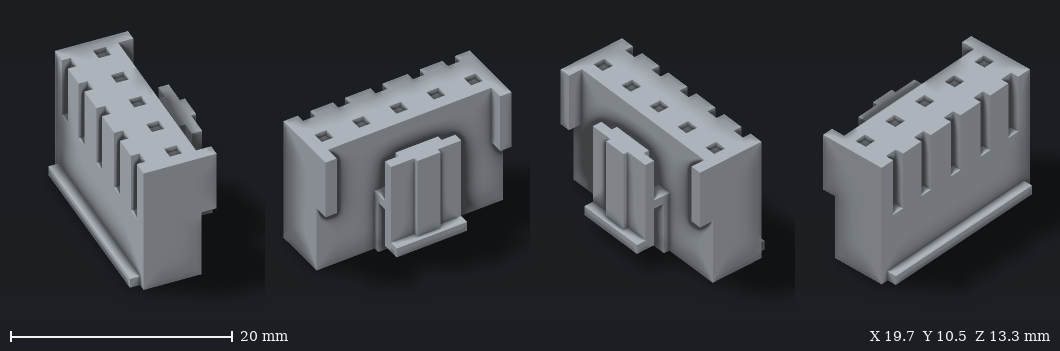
import cadquery as cq


body_width = 19.74
body_depth = 5.7
body_height = 13.3

contact_count = 5
contact_pitch = 3.96
contact_hole_width = 1.27
contact_hole_length = contact_hole_width
contact_hole_depth = 0.6
contact_hole_y = 3.8

groove_width = 1.27
groove_depth = 0.9
groove_bottom_z = 7.06
end_groove_width = 1.32
end_groove_x = 7.68

ear_width = 1.2
ear_back_y = 7.2
ear_bottom_z = groove_bottom_z

lip_width = 18.15
lip_depth = 1.0
lip_height = 1.0

latch_width = 7.46
lever_front_y = 7.5
lever_back_y = 8.5
lever_bottom_z = 1.5
lever_top_z = 11.15
latch_back_y = 9.5
catch_height = 1.0
rib_width = 2.47
rib_back_y = 9.0
leg_width = 1.47
leg_back_y = 6.32
bridge_bottom_z = 5.68
bridge_top_z = 6.61
tab_front_y = 6.9
tab_bottom_z = 9.7


def block(center_x, width, y_range, z_range):
    """Box centred on center_x that fills the given Y and Z ranges."""
    front, back = y_range
    bottom, top = z_range
    return (
        cq.Workplane("XY")
        .box(width, back - front, top - bottom, centered=(True, False, False))
        .translate((center_x, front, bottom))
    )


def make_body():
    body = block(0, body_width, (0, body_depth), (0, body_height))
    lip = block(0, lip_width, (-lip_depth, 0), (0, lip_height))
    body = body.union(lip)
    ear_x = (body_width - ear_width) / 2
    for x in (-ear_x, ear_x):
        body = body.union(block(x, ear_width, (0, ear_back_y), (ear_bottom_z, body_height)))
    return body


def cut_contacts(body):
    hole_y = (contact_hole_y - contact_hole_length / 2, contact_hole_y + contact_hole_length / 2)
    hole_z = (body_height - contact_hole_depth, body_height)
    for i in range(contact_count):
        x = (i - (contact_count - 1) / 2) * contact_pitch
        body = body.cut(block(x, contact_hole_width, hole_y, hole_z))
    return body


def cut_grooves(body):
    groove_y = (0, groove_depth)
    groove_z = (groove_bottom_z, body_height)
    for x in (-contact_pitch, 0, contact_pitch):
        body = body.cut(block(x, groove_width, groove_y, groove_z))
    for x in (-end_groove_x, end_groove_x):
        body = body.cut(block(x, end_groove_width, groove_y, groove_z))
    return body


def make_latch():
    lever_z = (lever_bottom_z, lever_top_z)
    latch = block(0, latch_width, (lever_front_y, lever_back_y), lever_z)
    catch_z = (lever_bottom_z, lever_bottom_z + catch_height)
    latch = latch.union(block(0, latch_width, (lever_back_y, latch_back_y), catch_z))
    latch = latch.union(block(0, rib_width, (lever_back_y, rib_back_y), lever_z))
    tab_width = latch_width - 2 * leg_width
    tab_z = (tab_bottom_z, lever_top_z)
    latch = latch.union(block(0, tab_width, (tab_front_y, lever_front_y), tab_z))
    leg_x = (latch_width - leg_width) / 2
    for x in (-leg_x, leg_x):
        latch = latch.union(block(x, leg_width, (body_depth, leg_back_y), (0, bridge_top_z)))
        bridge_z = (bridge_bottom_z, bridge_top_z)
        latch = latch.union(block(x, leg_width, (body_depth, lever_front_y), bridge_z))
    return latch


housing = cut_grooves(cut_contacts(make_body()))
result = housing.union(make_latch())